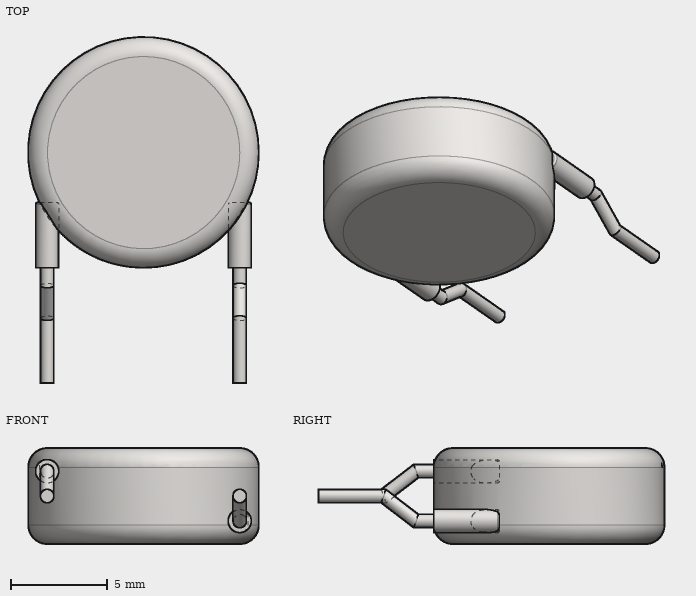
import cadquery as cq

disc_diameter = 12.0
disc_height = 5.0
disc_edge_radius = 1.0
disc_radius = disc_diameter / 2

lead_spacing = 10.0
sleeve_diameter = 1.2
sleeve_length = 3.4
sleeve_end_radius = 0.1
wire_diameter = 0.7
total_length = 18.0
sleeve_offset = 1.3
first_bend = 0.92
second_bend = 2.61

mid_height = disc_height / 2
sleeve_mouth_y = -disc_radius
sleeve_start_y = sleeve_mouth_y + sleeve_length
wire_end_y = disc_radius - total_length


def make_disc():
    disc = cq.Workplane("XY").circle(disc_radius).extrude(disc_height)
    return disc.faces("|Z").edges().fillet(disc_edge_radius)


def make_sleeve(x, z):
    """Round sleeve with a rounded inner end, running toward -Y."""
    plane = cq.Plane(origin=(x, sleeve_start_y, z), xDir=(1, 0, 0), normal=(0, -1, 0))
    sleeve = cq.Workplane(plane).circle(sleeve_diameter / 2).extrude(sleeve_length)
    return sleeve.faces(">Y").edges().fillet(sleeve_end_radius)


def make_wire(x, z):
    """Wire that leaves the sleeve, bends to mid-height and ends straight."""
    path = (
        cq.Workplane("YZ", origin=(x, 0, 0))
        .moveTo(sleeve_mouth_y, z)
        .lineTo(sleeve_mouth_y - first_bend, z)
        .lineTo(sleeve_mouth_y - second_bend, mid_height)
        .lineTo(wire_end_y, mid_height)
    )
    mouth = cq.Plane(origin=(x, sleeve_mouth_y, z), xDir=(1, 0, 0), normal=(0, -1, 0))
    return cq.Workplane(mouth).circle(wire_diameter / 2).sweep(path, transition="right")


def make_lead(side):
    """One lead: the left one (side -1) starts high, the right one (side 1) low."""
    x = side * lead_spacing / 2
    z = mid_height - side * sleeve_offset
    return make_sleeve(x, z).union(make_wire(x, z))


leads = [make_lead(side) for side in (-1, 1)]

disc = make_disc()
for lead in leads:
    disc = disc.cut(lead)

result = cq.Compound.makeCompound([disc.solids().val(), *[lead.solids().val() for lead in leads]])